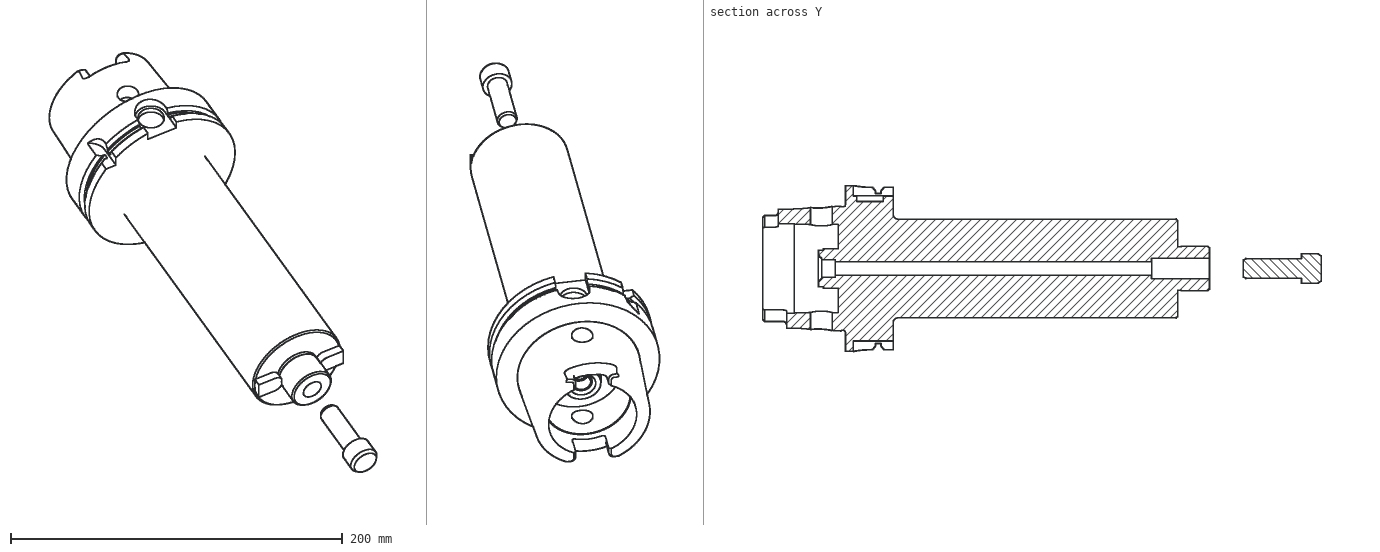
import cadquery as cq
import math

TOTAL_LENGTH = 337.0

TAPER_FRONT_RADIUS = 35.5
TAPER_SLOPE = 0.05
TAPER_LENGTH = 47.2
FRONT_ROUND = 1.5
NECK_RADIUS = 37.5
NECK_START = 48.0
NECK_FILLET = 1.5

FLANGE_START = 50.0
FLANGE_LENGTH = 29.0
FLANGE_DIAMETER = 100.0
GROOVE_CENTRE = 69.8
GROOVE_WIDTH = 7.0
GROOVE_FLOOR_WIDTH = 3.0
GROOVE_VEE_DEPTH = 2.5
GROOVE_DEPTH = 3.7

SPINDLE_DIAMETER = 60.0
SPINDLE_END = 250.5
SPINDLE_FILLET = 2.7
SPINDLE_CHAMFER = 1.0
PILOT_DIAMETER = 27.0
PILOT_END = 269.5
PILOT_CHAMFER = 1.0
PILOT_RELIEF_DIAMETER = 26.5
PILOT_RELIEF_LENGTH = 2.0

BORE_DIAMETER = 53.0
BORE_ENTRY_DIAMETER = 54.0
BORE_ENTRY_LENGTH = 19.2
SOCKET_DEPTH = 45.5
NOZZLE_TIP = 33.7
NOZZLE_TIP_DIAMETER = 22.2
NOZZLE_DIAMETER = 24.0
NOZZLE_TIP_LENGTH = 3.0
NOZZLE_HOLE_DIAMETER = 16.0
NOZZLE_SEAT_DIAMETER = 12.0
NOZZLE_STEP_DIAMETER = 10.5
NOZZLE_STEP_DEPTH = 10.0
COOLANT_DIAMETER = 8.0

CROSS_HOLE_X = 35.5
CROSS_HOLE_DIAMETER = 12.8

SLOT_HALF_WIDTH = 10.0
SLOT_SHOULDER_HEIGHT = 32.0
SLOT_SHOULDER_RADIUS = 3.5
SLOT_OUTER_HALF_WIDTH = 17.0
SLOT_CORNER_FILLET = 2.0
TOP_SLOT_DEPTH = 9.5
BOTTOM_SLOT_DEPTH = 14.5

KEYWAY_CENTRE_X = 64.7
KEYWAY_WIDTH = 19.5
KEYWAY_FLOOR = 43.8
NOTCH_WALL_Y = -31.7
NOTCH_FLOOR = 32.0
POCKET_DIAMETER = 16.0
POCKET_DEPTH = 3.5

KEY_WIDTH = 11.0
KEY_LENGTH = 5.0
KEY_OUTER_Y = 29.0
KEY_ROUND_CENTRE_Y = 18.2

SCREW_TIP = 289.8
SCREW_DIAMETER = 12.0
SCREW_TIP_DIAMETER = 10.5
SCREW_TIP_LENGTH = 1.7
SCREW_HEAD_DIAMETER = 18.0
SCREW_HEAD_LENGTH = 12.0
SCREW_HEAD_END_DIAMETER = 15.0
SCREW_HEAD_CHAMFER_LENGTH = 2.0

FLANGE_RADIUS = FLANGE_DIAMETER / 2
FLANGE_END = FLANGE_START + FLANGE_LENGTH
SCREW_HEAD_START = TOTAL_LENGTH - SCREW_HEAD_LENGTH
SCREW_HOLE_DEPTH = SCREW_HEAD_START - SCREW_TIP
SLOT_CUT_HEIGHT = FLANGE_RADIUS
ARC_MIDDLE = math.sqrt(0.5)


def revolve_about_x(points):
    """Solid of revolution about X from (x, radius) points."""
    return cq.Workplane("XY").polyline(points).close().revolve(360, (0, 0, 0), (1, 0, 0))


def arbor_blank():
    """Taper, neck, flange with its V groove, spindle and pilot in one turned profile."""
    taper_end_radius = TAPER_FRONT_RADIUS + TAPER_SLOPE * TAPER_LENGTH
    vee_bottom = FLANGE_RADIUS - GROOVE_VEE_DEPTH
    groove_bottom = FLANGE_RADIUS - GROOVE_DEPTH
    spindle_radius = SPINDLE_DIAMETER / 2
    pilot_radius = PILOT_DIAMETER / 2
    relief_radius = PILOT_RELIEF_DIAMETER / 2
    relief_end = SPINDLE_END + PILOT_RELIEF_LENGTH
    front_arc = FRONT_ROUND * (1 - ARC_MIDDLE)
    neck_arc = NECK_FILLET * (1 - ARC_MIDDLE)
    spindle_arc = SPINDLE_FILLET * (1 - ARC_MIDDLE)
    profile = (
        cq.Workplane("XY")
        .moveTo(0, 0)
        .lineTo(0, TAPER_FRONT_RADIUS - FRONT_ROUND)
        .threePointArc(
            (front_arc, TAPER_FRONT_RADIUS - front_arc),
            (FRONT_ROUND, TAPER_FRONT_RADIUS + TAPER_SLOPE * FRONT_ROUND),
        )
        .lineTo(TAPER_LENGTH, taper_end_radius)
        .lineTo(NECK_START, NECK_RADIUS)
        .lineTo(FLANGE_START - NECK_FILLET, NECK_RADIUS)
        .threePointArc(
            (FLANGE_START - neck_arc, NECK_RADIUS + neck_arc),
            (FLANGE_START, NECK_RADIUS + NECK_FILLET),
        )
        .lineTo(FLANGE_START, FLANGE_RADIUS)
        .lineTo(GROOVE_CENTRE - GROOVE_WIDTH / 2, FLANGE_RADIUS)
        .lineTo(GROOVE_CENTRE - GROOVE_FLOOR_WIDTH / 2, vee_bottom)
        .lineTo(GROOVE_CENTRE - GROOVE_FLOOR_WIDTH / 2, groove_bottom)
        .lineTo(GROOVE_CENTRE + GROOVE_FLOOR_WIDTH / 2, groove_bottom)
        .lineTo(GROOVE_CENTRE + GROOVE_FLOOR_WIDTH / 2, vee_bottom)
        .lineTo(GROOVE_CENTRE + GROOVE_WIDTH / 2, FLANGE_RADIUS)
        .lineTo(FLANGE_END, FLANGE_RADIUS)
        .lineTo(FLANGE_END, spindle_radius + SPINDLE_FILLET)
        .threePointArc(
            (FLANGE_END + spindle_arc, spindle_radius + spindle_arc),
            (FLANGE_END + SPINDLE_FILLET, spindle_radius),
        )
        .lineTo(SPINDLE_END - SPINDLE_CHAMFER, spindle_radius)
        .lineTo(SPINDLE_END, spindle_radius - SPINDLE_CHAMFER)
        .lineTo(SPINDLE_END, relief_radius)
        .lineTo(relief_end, relief_radius)
        .lineTo(relief_end, pilot_radius)
        .lineTo(PILOT_END - PILOT_CHAMFER, pilot_radius)
        .lineTo(PILOT_END, pilot_radius - PILOT_CHAMFER)
        .lineTo(PILOT_END, 0)
        .close()
    )
    return profile.revolve(360, (0, 0, 0), (1, 0, 0))


def socket_cut():
    """Stepped bore of the hollow taper, leaving the coolant nozzle standing in the middle."""
    nozzle_shoulder = NOZZLE_TIP + NOZZLE_TIP_LENGTH
    return revolve_about_x([
        (0, 0),
        (0, BORE_ENTRY_DIAMETER / 2),
        (BORE_ENTRY_LENGTH, BORE_ENTRY_DIAMETER / 2),
        (BORE_ENTRY_LENGTH, BORE_DIAMETER / 2),
        (SOCKET_DEPTH, BORE_DIAMETER / 2),
        (SOCKET_DEPTH, NOZZLE_DIAMETER / 2),
        (nozzle_shoulder, NOZZLE_DIAMETER / 2),
        (nozzle_shoulder, NOZZLE_TIP_DIAMETER / 2),
        (NOZZLE_TIP, NOZZLE_TIP_DIAMETER / 2),
        (NOZZLE_TIP, 0),
    ])


def axial_holes():
    """Stepped nozzle mouth, coolant bore and screw hole along the axis."""
    seat = NOZZLE_TIP + (NOZZLE_HOLE_DIAMETER - NOZZLE_SEAT_DIAMETER) / 2
    step_end = NOZZLE_TIP + NOZZLE_STEP_DEPTH
    screw_hole_start = PILOT_END - SCREW_HOLE_DEPTH
    return revolve_about_x([
        (NOZZLE_TIP, 0),
        (NOZZLE_TIP, NOZZLE_HOLE_DIAMETER / 2),
        (seat, NOZZLE_SEAT_DIAMETER / 2),
        (seat, NOZZLE_STEP_DIAMETER / 2),
        (step_end, NOZZLE_STEP_DIAMETER / 2),
        (step_end, COOLANT_DIAMETER / 2),
        (screw_hole_start, COOLANT_DIAMETER / 2),
        (screw_hole_start, SCREW_DIAMETER / 2),
        (PILOT_END, SCREW_DIAMETER / 2),
        (PILOT_END, 0),
    ])


def cross_hole():
    """Hole through both walls of the taper, stopping short of the nozzle."""
    hole = (
        cq.Workplane("XY")
        .center(CROSS_HOLE_X, 0)
        .circle(CROSS_HOLE_DIAMETER / 2)
        .extrude(FLANGE_RADIUS, both=True)
    )
    nozzle = (
        cq.Workplane("YZ")
        .workplane(offset=NOZZLE_TIP)
        .circle(NOZZLE_DIAMETER / 2)
        .extrude(CROSS_HOLE_DIAMETER)
    )
    return hole.cut(nozzle)


def slot_outline(plane, side, growth):
    """Closed outline of a drive slot, with its edges moved outwards by the growth."""
    half_width = SLOT_HALF_WIDTH + growth
    shoulder_top = side * (SLOT_SHOULDER_HEIGHT - growth)
    centre_y = SLOT_HALF_WIDTH + SLOT_SHOULDER_RADIUS
    centre_z = SLOT_SHOULDER_HEIGHT - SLOT_SHOULDER_RADIUS
    arc = (SLOT_SHOULDER_RADIUS - growth) * ARC_MIDDLE
    arc_z = side * (centre_z + arc)
    wide = SLOT_OUTER_HALF_WIDTH + growth
    outside = side * SLOT_CUT_HEIGHT
    return (
        plane.moveTo(-half_width, 0)
        .lineTo(half_width, 0)
        .lineTo(half_width, side * centre_z)
        .threePointArc((centre_y - arc, arc_z), (centre_y, shoulder_top))
        .lineTo(wide, shoulder_top)
        .lineTo(wide, outside)
        .lineTo(-wide, outside)
        .lineTo(-wide, shoulder_top)
        .lineTo(-centre_y, shoulder_top)
        .threePointArc((arc - centre_y, arc_z), (-half_width, side * centre_z))
        .close()
    )


def drive_slot(depth, side):
    """Slot in the taper front with rounded shoulders; side is +1 on top, -1 below."""
    slot = slot_outline(cq.Workplane("YZ"), side, 0).extrude(depth)
    slot = slot.faces(">X").edges().fillet(SLOT_CORNER_FILLET)
    rim = slot_outline(cq.Workplane("YZ"), side, FRONT_ROUND).workplane(offset=FRONT_ROUND)
    rim = slot_outline(rim, side, 0).loft(ruled=True)
    return slot.union(rim)


def keyway(centre_y, floor, side):
    """Round-ended keyway open to the back of the flange; side is +1 on top, -1 below."""
    run = FLANGE_END - KEYWAY_CENTRE_X
    depth = side * (FLANGE_DIAMETER - floor)
    plane = cq.Workplane("XY").workplane(offset=side * floor)
    round_end = plane.center(KEYWAY_CENTRE_X, centre_y).circle(KEYWAY_WIDTH / 2).extrude(depth)
    plane = cq.Workplane("XY").workplane(offset=side * floor)
    straight = (
        plane.center(KEYWAY_CENTRE_X + run / 2, centre_y).rect(run, KEYWAY_WIDTH).extrude(depth)
    )
    return round_end.union(straight)


def pocket():
    """Round pocket sunk into the floor of the top keyway."""
    return (
        cq.Workplane("XY")
        .workplane(offset=KEYWAY_FLOOR - POCKET_DEPTH)
        .center(KEYWAY_CENTRE_X, 0)
        .circle(POCKET_DIAMETER / 2)
        .extrude(POCKET_DEPTH)
    )


def driving_key(side):
    """Key on the spindle end with a rounded inner end; side is +1 or -1 along Y."""
    length = KEY_OUTER_Y - KEY_ROUND_CENTRE_Y
    middle = side * (KEY_ROUND_CENTRE_Y + length / 2)
    plane = cq.Workplane("YZ").workplane(offset=SPINDLE_END)
    bar = plane.center(middle, 0).rect(length, KEY_WIDTH).extrude(KEY_LENGTH)
    plane = cq.Workplane("YZ").workplane(offset=SPINDLE_END)
    round_end = (
        plane.center(side * KEY_ROUND_CENTRE_Y, 0).circle(KEY_WIDTH / 2).extrude(KEY_LENGTH)
    )
    return bar.union(round_end)


def make_arbor():
    """Tool arbor: hollow taper, flange, spindle, pilot and driving keys in one body."""
    body = arbor_blank().cut(socket_cut())
    body = body.cut(drive_slot(TOP_SLOT_DEPTH, 1))
    body = body.cut(drive_slot(BOTTOM_SLOT_DEPTH, -1))
    body = body.cut(axial_holes())
    body = body.cut(cross_hole())
    for side in (1, -1):
        body = body.cut(keyway(0, KEYWAY_FLOOR, side))
        body = body.union(driving_key(side))
    body = body.cut(keyway(NOTCH_WALL_Y - KEYWAY_WIDTH / 2, NOTCH_FLOOR, 1))
    return body.cut(pocket())


def make_screw():
    """Cap screw in line with the arbor, clear of the pilot."""
    return revolve_about_x([
        (SCREW_TIP, 0),
        (SCREW_TIP, SCREW_TIP_DIAMETER / 2),
        (SCREW_TIP + SCREW_TIP_LENGTH, SCREW_DIAMETER / 2),
        (SCREW_HEAD_START, SCREW_DIAMETER / 2),
        (SCREW_HEAD_START, SCREW_HEAD_DIAMETER / 2),
        (TOTAL_LENGTH - SCREW_HEAD_CHAMFER_LENGTH, SCREW_HEAD_DIAMETER / 2),
        (TOTAL_LENGTH, SCREW_HEAD_END_DIAMETER / 2),
        (TOTAL_LENGTH, 0),
    ])


arbor = make_arbor()
screw = make_screw()
result = cq.Compound.makeCompound([arbor.val(), screw.val()])